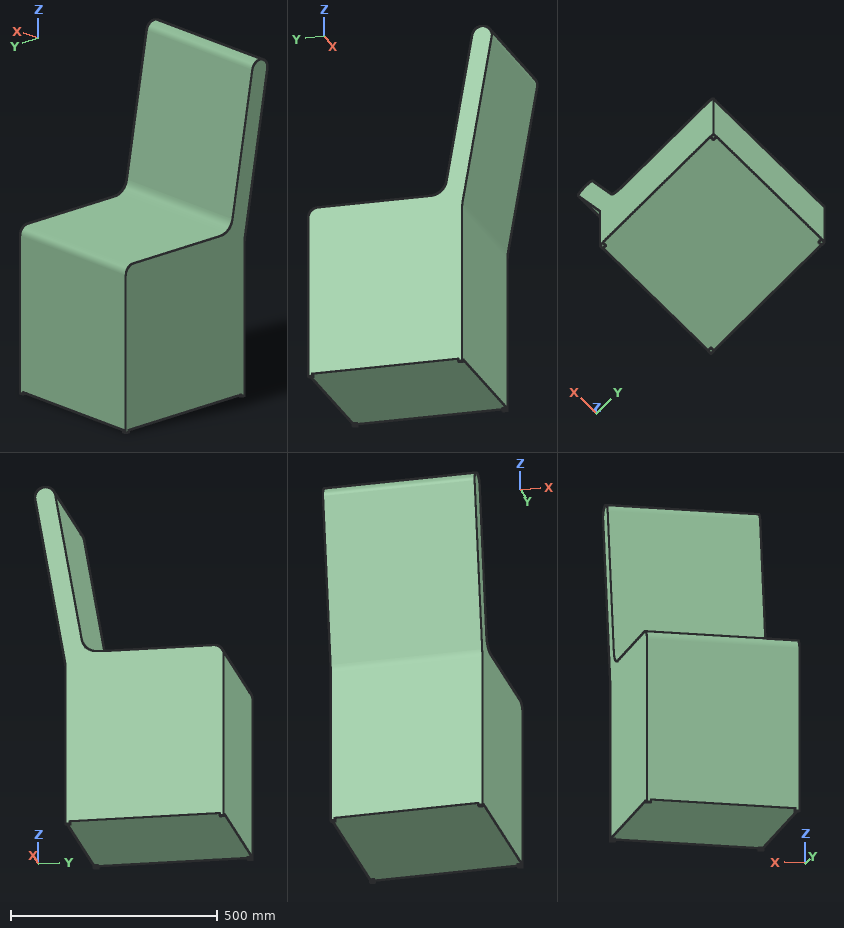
import cadquery as cq
import math

width = 380.0
total_depth = 465.0
total_height = 855.0

seat_depth = 390.0
seat_height = 432.0
seat_front_radius = 25.0

back_thickness = 50.5
back_lean = math.radians(10)
seat_to_back_radius = 40.0
rear_bend_radius = 100.0

foot_height = 5.0
foot_size = 10.0

front_y = total_depth / 2
rear_y = front_y - seat_depth

cap_radius = back_thickness / 2
cap_y = -total_depth / 2 + cap_radius
cap_z = total_height - cap_radius
normal_y = cap_radius * math.cos(back_lean)
normal_z = cap_radius * math.sin(back_lean)
cap_front = (cap_y + normal_y, cap_z + normal_z)
cap_top = (cap_y - normal_z, cap_z + normal_y)
cap_rear = (cap_y - normal_y, cap_z - normal_z)

slope = math.tan(back_lean)
bend_z = cap_rear[1] - (rear_y - cap_rear[0]) / slope
seat_corner_y = cap_front[0] + (cap_front[1] - seat_height) * slope


def make_body():
    body = (
        cq.Workplane("YZ", origin=(-width / 2, 0, 0))
        .moveTo(front_y, foot_height)
        .lineTo(front_y, seat_height)
        .lineTo(seat_corner_y, seat_height)
        .lineTo(*cap_front)
        .threePointArc(cap_top, cap_rear)
        .lineTo(rear_y, bend_z)
        .lineTo(rear_y, foot_height)
        .close()
        .extrude(width)
    )
    rounded_edges = (
        (front_y, seat_height, seat_front_radius),
        (seat_corner_y, seat_height, seat_to_back_radius),
        (rear_y, bend_z, rear_bend_radius),
    )
    for y, z, radius in rounded_edges:
        edge = cq.selectors.NearestToPointSelector((0, y, z))
        body = body.edges(edge).fillet(radius)
    return body


def make_feet():
    """Square feet flush with the four corners of the seat block."""
    return (
        cq.Workplane("XY")
        .center(0, (front_y + rear_y) / 2)
        .rect(width - foot_size, seat_depth - foot_size, forConstruction=True)
        .vertices()
        .rect(foot_size, foot_size)
        .extrude(foot_height)
    )


result = make_body().union(make_feet())